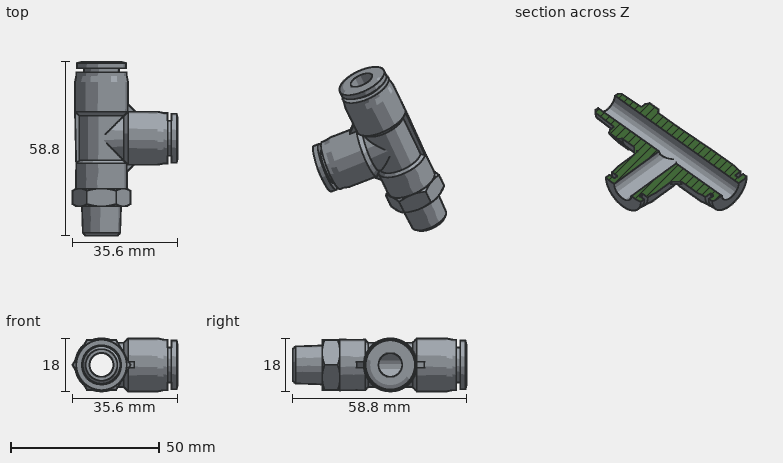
import cadquery as cq
import math


waist_end = 7.5
shoulder_end = 9.0
body_end = 19.0
taper_end = 21.0
mouth_end = 22.3
ring_start = 23.6
ring_edge = 25.4
port_end = 25.75

waist_radius = 7.5
body_radius = 9.0
mouth_radius = 8.58
sleeve_radius = 5.95
ring_radius = 8.3
ring_face_radius = 6.8
bore_radius = 4.0

collar_radius = 8.6
collar_base_radius = 8.65
collar_cone_start = 7.5
collar_start = 8.5
hex_start = 17.0
hex_width = 17.0
hex_height = 6.0
hex_end = hex_start + hex_height
hex_chamfer_angle = 30.0
thread_radius = 6.65
thread_length = 10.0
thread_end = hex_end + thread_length
thread_taper = 1 / 16
thread_chamfer = 1.0

rib_thickness = 2.0
upper_gusset_reach = 20.5
lower_gusset_reach = 20.0


def turned(profile):
    """Solid of revolution about Y from (radius, y) points; both ends close on the axis."""
    points = [(0, profile[0][1])] + profile + [(0, profile[-1][1])]
    return cq.Workplane("XY").polyline(points).close().revolve(360, (0, 0, 0), (0, 1, 0))


def port():
    """Push-in port along +Y, starting at the crossing of the axes."""
    return turned([
        (waist_radius, 0),
        (waist_radius, waist_end),
        (body_radius, shoulder_end),
        (body_radius, body_end),
        (mouth_radius, taper_end),
        (mouth_radius, mouth_end),
        (sleeve_radius, mouth_end),
        (sleeve_radius, ring_start),
        (ring_radius, ring_start),
        (ring_radius, ring_edge),
        (ring_face_radius, port_end),
    ])


def collar():
    """Lower half of the waist with the collar that sits on the hexagon."""
    return turned([
        (waist_radius, 0),
        (waist_radius, -collar_cone_start),
        (collar_radius, -collar_start),
        (collar_base_radius, -hex_start),
    ])


def hexagon():
    """Wrench hexagon with corners on the X axis, both faces chamfered by a cone."""
    flat_radius = hex_width / 2
    corner_radius = flat_radius / math.cos(math.pi / 6)
    chamfer_depth = (corner_radius - flat_radius) * math.tan(math.radians(hex_chamfer_angle))
    prism = (
        cq.Workplane("XZ", origin=(0, -hex_start, 0))
        .polygon(6, 2 * corner_radius)
        .extrude(hex_height)
    )
    envelope = turned([
        (flat_radius, -hex_start),
        (corner_radius, -hex_start - chamfer_depth),
        (corner_radius, -hex_end + chamfer_depth),
        (flat_radius, -hex_end),
    ])
    return prism.intersect(envelope)


def thread():
    """Tapered pipe thread blank with a chamfered end."""
    tip_radius = thread_radius - thread_length * thread_taper / 2
    return turned([
        (thread_radius, -hex_end),
        (tip_radius, -thread_end + thread_chamfer),
        (tip_radius - thread_chamfer, -thread_end),
    ])


def plate(points):
    """Flat rib of the common thickness, centred on the XY plane."""
    return cq.Workplane("XY").polyline(points).close().extrude(rib_thickness / 2, both=True)


def back_rib():
    """Rib opposite the branch, running from the collar to the body of the straight port."""
    return plate([
        (0, -collar_start),
        (-collar_radius, -collar_start),
        (-body_radius, shoulder_end),
        (0, shoulder_end),
    ])


def gusset(reach, side):
    """45 degree web in the corner between run and branch; side is +1 for +Y, -1 for -Y."""
    return plate([
        (waist_radius, side * waist_radius),
        (reach - waist_radius, side * waist_radius),
        (waist_radius, side * (reach - waist_radius)),
    ])


def bores():
    """Through bore of the run and the bore of the branch that opens into it."""
    run = cq.Workplane("XZ", origin=(0, port_end, 0)).circle(bore_radius).extrude(port_end + thread_end)
    branch = cq.Workplane("YZ").circle(bore_radius).extrude(port_end)
    return run.union(branch)


straight_port = port()
branch_port = port().rotate((0, 0, 0), (0, 0, 1), -90)

result = (
    straight_port
    .union(collar())
    .union(branch_port)
    .union(hexagon())
    .union(thread())
    .union(back_rib())
    .union(gusset(upper_gusset_reach, 1))
    .union(gusset(lower_gusset_reach, -1))
    .cut(bores())
)